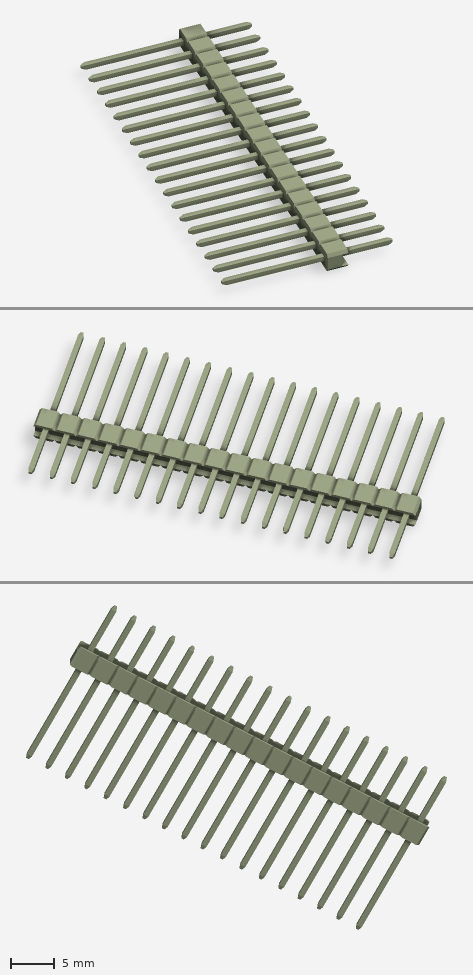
import cadquery as cq

pin_count = 18
pitch = 2.54
row_length = pin_count * pitch

body_height = 2.5
body_depth = 2.54
corner_width = 0.3
corner_height = 0.4

channel_depth = 0.7
channel_height = body_height - 2 * corner_height

pin_width = 0.64
pin_side_offset = -0.1
pin_length = 21.1
pin_tip_width = 0.32
pin_taper_length = 0.5
pin_front_reach = 12.6


def make_cell(center_x):
    """One pitch of the body: an octagonal prism with bevelled corners."""
    half_width = pitch / 2
    half_height = body_height / 2
    flat_x = half_width - corner_width
    side_z = half_height - corner_height
    outline = [
        (-flat_x, -half_height),
        (flat_x, -half_height),
        (half_width, -side_z),
        (half_width, side_z),
        (flat_x, half_height),
        (-flat_x, half_height),
        (-half_width, side_z),
        (-half_width, -side_z),
    ]
    cell = cq.Workplane("XZ").polyline(outline).close().extrude(-body_depth)
    return cell.translate((center_x, 0, 0))


def make_channel():
    """Cutter for the channel along the +Y face."""
    return (
        cq.Workplane("XY")
        .box(row_length, channel_depth, channel_height)
        .translate((0, body_depth - channel_depth / 2, 0))
    )


def make_pin_taper(shoulder_y, length):
    """Pyramid frustum from the shoulder; a negative length points it toward -Y."""
    return (
        cq.Workplane("XZ", origin=(0, shoulder_y, 0))
        .rect(pin_width, pin_width)
        .workplane(offset=-length)
        .rect(pin_tip_width, pin_tip_width)
        .loft(ruled=True)
    )


def make_pin(center_x):
    """Square pin with a taper at each end."""
    front_shoulder = -pin_front_reach + pin_taper_length
    shank_length = pin_length - 2 * pin_taper_length
    back_shoulder = front_shoulder + shank_length
    shank = (
        cq.Workplane("XZ", origin=(0, front_shoulder, 0))
        .rect(pin_width, pin_width)
        .extrude(-shank_length)
    )
    pin = shank.union(make_pin_taper(front_shoulder, -pin_taper_length))
    pin = pin.union(make_pin_taper(back_shoulder, pin_taper_length))
    return pin.translate((center_x + pin_side_offset, 0, 0))


first_pin_x = -(row_length - pitch) / 2
pin_positions = [first_pin_x + index * pitch for index in range(pin_count)]

body = make_cell(pin_positions[0])
for position in pin_positions[1:]:
    body = body.union(make_cell(position))
body = body.cut(make_channel())

result = body
for position in pin_positions:
    result = result.union(make_pin(position))
result = result.clean()